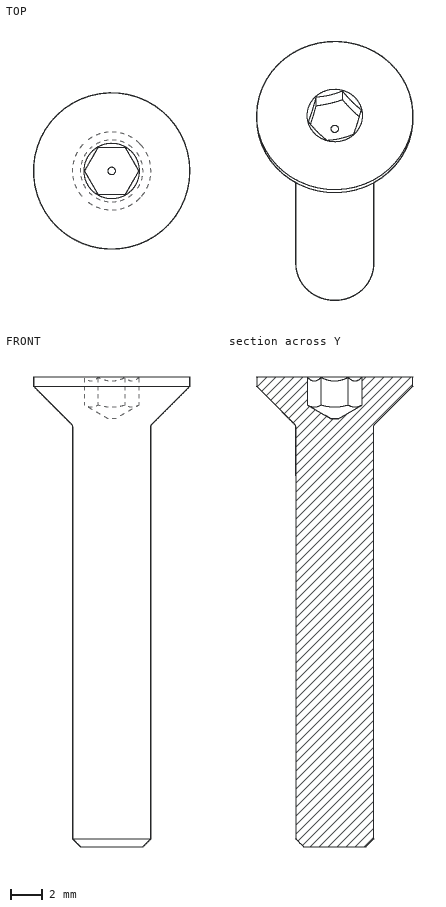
import cadquery as cq
import math

length = 30.0
head_diameter = 10.0
shank_diameter = head_diameter / 2
head_radius = head_diameter / 2
shank_radius = shank_diameter / 2

rim_height = 0.6
cone_height = head_radius - shank_radius
tip_chamfer = 0.5

neck_radius = 0.2

socket_across_flats = 3.0
socket_corner_radius = socket_across_flats / math.sqrt(3)
socket_wall_depth = 1.8
lead_in_radius = 1.77
lead_in_angle = 45.0
lead_in_depth = lead_in_radius * math.tan(math.radians(lead_in_angle))
floor_tip_radius = 0.25
floor_angle = 30.0
floor_depth = (socket_corner_radius - floor_tip_radius) * math.tan(math.radians(floor_angle))


def screw_body():
    """Revolve the outer profile, with the tip at Z = 0."""
    rim_bottom = length - rim_height
    neck_z = rim_bottom - cone_height
    body = (
        cq.Workplane("XZ")
        .moveTo(0, 0)
        .lineTo(shank_radius - tip_chamfer, 0)
        .lineTo(shank_radius, tip_chamfer)
        .lineTo(shank_radius, neck_z)
        .lineTo(head_radius, rim_bottom)
        .lineTo(head_radius, length)
        .lineTo(0, length)
        .close()
        .revolve(360, (0, 0, 0), (0, 1, 0))
    )
    neck_edge = cq.selectors.BoxSelector(
        (-head_radius, -head_radius, neck_z - neck_radius),
        (head_radius, head_radius, neck_z + neck_radius),
    )
    return body.edges("%CIRCLE").edges(neck_edge).fillet(neck_radius)


def socket():
    """Hexagonal socket ending in a blunt cone, with a conical entry."""
    wall_bottom = length - socket_wall_depth
    tip_z = wall_bottom - floor_depth
    hexagon = (
        cq.Workplane("XY", origin=(0, 0, tip_z))
        .polygon(6, 2 * socket_corner_radius)
        .extrude(length - tip_z)
    )
    drilled_hole = (
        cq.Workplane("XZ")
        .moveTo(0, tip_z)
        .lineTo(floor_tip_radius, tip_z)
        .lineTo(socket_corner_radius, wall_bottom)
        .lineTo(socket_corner_radius, length)
        .lineTo(0, length)
        .close()
        .revolve(360, (0, 0, 0), (0, 1, 0))
    )
    lead_in = (
        cq.Workplane("XZ")
        .moveTo(0, length)
        .lineTo(lead_in_radius, length)
        .lineTo(0, length - lead_in_depth)
        .close()
        .revolve(360, (0, 0, 0), (0, 1, 0))
    )
    return hexagon.intersect(drilled_hole).union(lead_in)


result = screw_body().cut(socket())